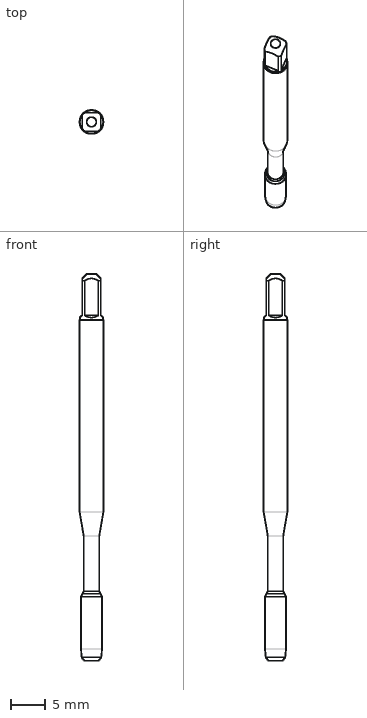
import cadquery as cq

overall_length = 56.2

head_diameter = 3.1
head_length = 9.75
tip_diameter = 2.0
tip_cone_height = 0.5
lead_small_diameter = 2.88
lead_end_height = 1.8
head_cylinder_end_height = 9.3

neck_diameter = 2.29
neck_start_height = 10.1
neck_end_height = 18.15
shank_diameter = 3.5
shank_start_height = 21.65
shank_end_height = 49.48

square_sides = 4
square_across_flats = 2.7
square_corner_diameter = 3.36
shoulder_height = (shank_diameter - square_corner_diameter) / 2
flat_bottom_height = 50.2
top_face_diameter = 1.4

joint_fraction = (head_length - head_cylinder_end_height) / (neck_start_height - head_cylinder_end_height)
joint_diameter = head_diameter + joint_fraction * (neck_diameter - head_diameter)


def revolve_profile(profile):
    """Turn a list of (diameter, height) steps into a solid of revolution."""
    outline = [(diameter / 2, height) for diameter, height in profile]
    axis_ends = [(0, profile[-1][1]), (0, profile[0][1])]
    return cq.Workplane("XZ").polyline(outline + axis_ends).close().revolve(360, (0, 0), (0, 1))


def flat_cutter():
    """Material outside one flat of the square, with a 45 degree run-out into the shank."""
    flat_radius = square_across_flats / 2
    outside = shank_diameter
    runout_drop = outside - flat_radius
    return (
        cq.Workplane("XZ")
        .moveTo(flat_radius, flat_bottom_height)
        .lineTo(outside, flat_bottom_height - runout_drop)
        .lineTo(outside, overall_length)
        .lineTo(flat_radius, overall_length)
        .close()
        .extrude(shank_diameter, both=True)
    )


def make_head():
    return revolve_profile([
        (tip_diameter, 0),
        (lead_small_diameter, tip_cone_height),
        (head_diameter, lead_end_height),
        (head_diameter, head_cylinder_end_height),
        (joint_diameter, head_length),
    ])


def make_shank():
    top_cone_height = (square_corner_diameter - top_face_diameter) / 2
    shank = revolve_profile([
        (joint_diameter, head_length),
        (neck_diameter, neck_start_height),
        (neck_diameter, neck_end_height),
        (shank_diameter, shank_start_height),
        (shank_diameter, shank_end_height),
        (square_corner_diameter, shank_end_height + shoulder_height),
        (square_corner_diameter, overall_length - top_cone_height),
        (top_face_diameter, overall_length),
    ])
    for side in range(square_sides):
        shank = shank.cut(flat_cutter().rotate((0, 0, 0), (0, 0, 1), side * 360 / square_sides))
    return shank


head = make_head()
shank = make_shank()

result = cq.Compound.makeCompound([head.val(), shank.val()])